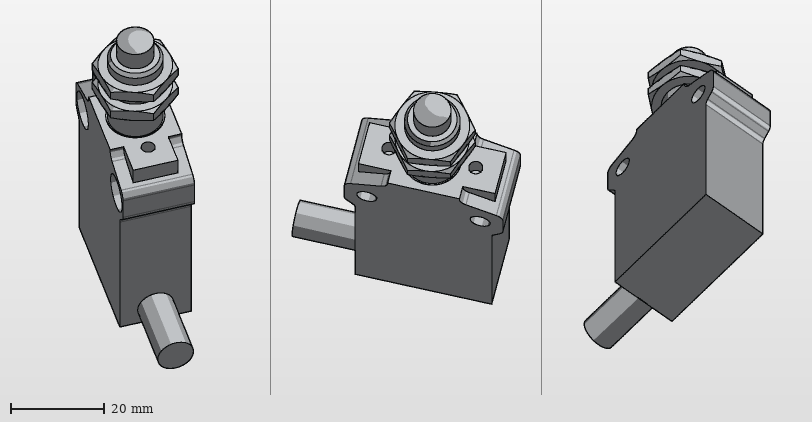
import cadquery as cq
import math

body_width = 30.1
body_thickness = 16.0
body_height = 49.05
ear_span = 35.0
ear_top_z = 44.3
ear_bottom_z = 36.7
neck_width = 15.9
neck_shoulder_z = 47.2
ear_round = 2.0
selection_margin = 0.75
bar_thickness = 10.0

mount_spacing = 25.0
mount_z = 40.1
mount_dia = 4.4
counterbore_dia = 8.45
counterbore_depth = 4.1

top_hole_spacing = 19.15
top_hole_dia = 3
top_hole_depth = 4.45

bushing_dia = 11.95
bushing_top_z = 68.35
bushing_chamfer_width = 0.7
bushing_chamfer_height = 0.9
recess_clearance = 0.4
recess_depth = 0.15

plunger_dia = 8.0
plunger_shoulder_z = 72.9
plunger_tip_z = 74.2

nut_across_flats = 16.0
nut_height = 3
nut_bottom_z = 56.25
nut_pitch = 6.0
nut_turn = 8.5
nut_chamfer_angle = 20
nut_count = 2
nut_sides = 6

cable_dia = 8.0
cable_z = 4.15
cable_end_x = 30.0


def make_housing():
    body_x = body_width / 2
    ear_x = ear_span / 2
    neck_x = neck_width / 2
    ear_slant_end_z = ear_bottom_z - (ear_x - body_x)

    right_side = [
        (body_x, 0),
        (body_x, ear_slant_end_z),
        (ear_x, ear_bottom_z),
        (ear_x, ear_top_z),
        (neck_x, neck_shoulder_z),
        (neck_x, body_height),
    ]
    left_side = [(-x, z) for x, z in reversed(right_side)]
    plate = (
        cq.Workplane("XZ")
        .polyline(right_side + left_side)
        .close()
        .extrude(body_thickness / 2, both=True)
    )
    corner_zone = cq.selectors.BoxSelector(
        (-ear_span, -body_thickness, ear_slant_end_z - selection_margin),
        (ear_span, body_thickness, neck_shoulder_z + selection_margin),
    )
    plate = plate.edges("|Y").edges(corner_zone).fillet(ear_round)

    bar = cq.Workplane("XY").box(body_width, bar_thickness, body_height, centered=(True, True, False))
    housing = plate.union(bar)

    mount_points = [(-mount_spacing / 2, mount_z), (mount_spacing / 2, mount_z)]
    housing = housing.cut(
        cq.Workplane("XZ")
        .pushPoints(mount_points)
        .circle(mount_dia / 2)
        .extrude(body_thickness, both=True)
    )
    housing = housing.cut(
        cq.Workplane("XZ", origin=(0, -body_thickness / 2, 0))
        .pushPoints(mount_points)
        .circle(counterbore_dia / 2)
        .extrude(-counterbore_depth)
    )

    top_face = cq.Workplane("XY", origin=(0, 0, body_height))
    housing = housing.cut(
        top_face.pushPoints([(-top_hole_spacing / 2, 0), (top_hole_spacing / 2, 0)])
        .circle(top_hole_dia / 2)
        .extrude(-top_hole_depth)
    )
    return housing.cut(top_face.circle(bushing_dia / 2 + recess_clearance).extrude(-recess_depth))


def make_bushing():
    radius = bushing_dia / 2
    foot_z = body_height - recess_depth
    return (
        cq.Workplane("XZ")
        .moveTo(0, foot_z)
        .lineTo(radius, foot_z)
        .lineTo(radius, bushing_top_z - bushing_chamfer_height)
        .lineTo(radius - bushing_chamfer_width, bushing_top_z)
        .lineTo(0, bushing_top_z)
        .close()
        .revolve()
    )


def make_plunger():
    radius = plunger_dia / 2
    tip_height = plunger_tip_z - plunger_shoulder_z
    tip_radius = (radius**2 + tip_height**2) / (2 * tip_height)
    half_angle = math.asin(radius / tip_radius) / 2
    arc_middle_x = tip_radius * math.sin(half_angle)
    arc_middle_z = plunger_tip_z - tip_radius * (1 - math.cos(half_angle))
    return (
        cq.Workplane("XZ")
        .moveTo(0, bushing_top_z)
        .lineTo(radius, bushing_top_z)
        .lineTo(radius, plunger_shoulder_z)
        .threePointArc((arc_middle_x, arc_middle_z), (0, plunger_tip_z))
        .close()
        .revolve()
    )


def make_nut(bottom_z):
    flat_radius = nut_across_flats / 2
    corner_dia = nut_across_flats / math.cos(math.pi / nut_sides)
    hexagon = (
        cq.Workplane("XY")
        .polygon(nut_sides, corner_dia)
        .extrude(nut_height)
        .rotate((0, 0, 0), (0, 0, 1), nut_turn)
    )
    chamfer_slope = math.tan(math.radians(nut_chamfer_angle))
    middle_z = nut_height / 2
    cone_edge_radius = flat_radius + middle_z / chamfer_slope
    envelope = (
        cq.Workplane("XZ")
        .moveTo(0, 0)
        .lineTo(flat_radius, 0)
        .lineTo(cone_edge_radius, middle_z)
        .lineTo(flat_radius, nut_height)
        .lineTo(0, nut_height)
        .close()
        .revolve()
    )
    bore = cq.Workplane("XY").circle(bushing_dia / 2).extrude(nut_height)
    return hexagon.intersect(envelope).cut(bore).translate((0, 0, bottom_z))


def make_cable():
    body_x = body_width / 2
    return (
        cq.Workplane("YZ", origin=(body_x, 0, cable_z))
        .circle(cable_dia / 2)
        .extrude(cable_end_x - body_x)
    )


housing = make_housing()
bushing = make_bushing()
plunger = make_plunger()
nuts = [make_nut(nut_bottom_z + i * nut_pitch) for i in range(nut_count)]
cable = make_cable()

result = cq.Compound.makeCompound(
    [housing.val(), bushing.val(), plunger.val(), *[nut.val() for nut in nuts], cable.val()]
)